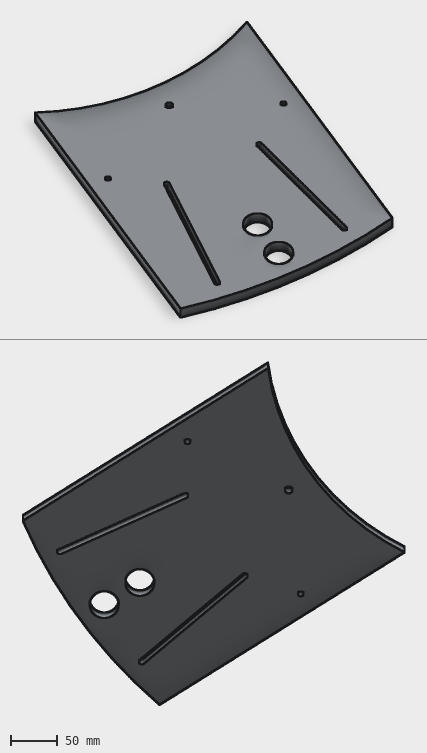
import cadquery as cq
import math

length = 331.5
width = 260.0
thickness = 15.0
left_arc_depth = 31.5
right_arc_rise = 14.3

large_hole_diameter = 31.0
large_hole_positions = (254.2, 300.3)
center_hole_diameter = 8.0
center_hole_x = 61.5
side_hole_diameter = 6.0
side_hole_x = 119.3
side_hole_offset = 107.7

slot_width = 6.0
slot_start = (156.8, 56.7)
slot_end = (304.5, 78.0)


def make_plate():
    half_width = width / 2
    side_end_x = length - right_arc_rise
    return (
        cq.Workplane("XY")
        .moveTo(0, -half_width)
        .lineTo(side_end_x, -half_width)
        .threePointArc((length, 0), (side_end_x, half_width))
        .lineTo(0, half_width)
        .threePointArc((left_arc_depth, 0), (0, -half_width))
        .close()
        .extrude(thickness)
    )


def make_hole_cutter(points, diameter):
    return cq.Workplane("XY").pushPoints(points).circle(diameter / 2).extrude(thickness)


def make_slot_cutter(side):
    """Slot on one side of the center line; side is +1 or -1."""
    run = slot_end[0] - slot_start[0]
    rise = slot_end[1] - slot_start[1]
    middle = ((slot_start[0] + slot_end[0]) / 2, side * (slot_start[1] + slot_end[1]) / 2)
    angle = side * math.degrees(math.atan2(rise, run))
    overall_length = math.hypot(run, rise) + slot_width
    return (
        cq.Workplane("XY")
        .center(*middle)
        .slot2D(overall_length, slot_width, angle)
        .extrude(thickness)
    )


result = make_plate()
result = result.cut(make_hole_cutter([(x, 0) for x in large_hole_positions], large_hole_diameter))
result = result.cut(make_hole_cutter([(center_hole_x, 0)], center_hole_diameter))
for side in (1, -1):
    result = result.cut(make_hole_cutter([(side_hole_x, side * side_hole_offset)], side_hole_diameter))
    result = result.cut(make_slot_cutter(side))